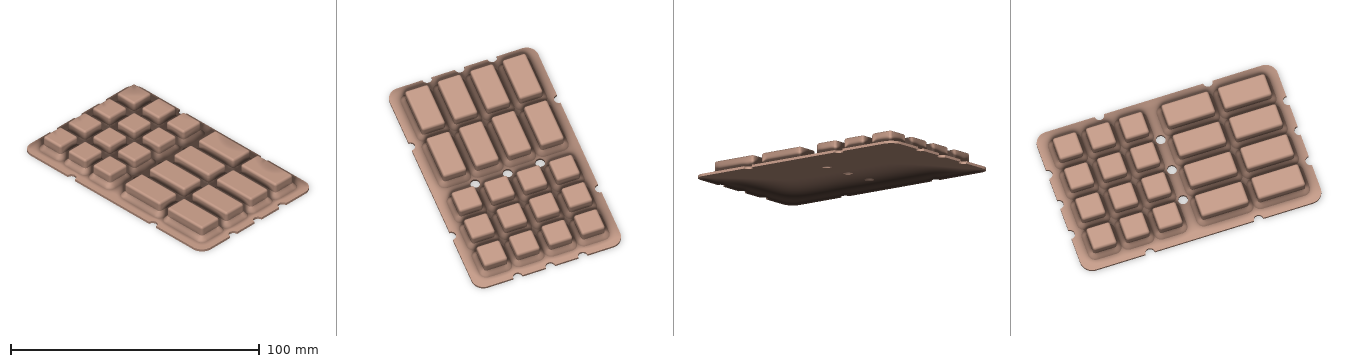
import cadquery as cq

length = 102.0
width = 64.0
plate_thickness = 1.0
plate_corner_radius = 5.0
margin = 4.0

overall_height = 7.0
row_count = 4
small_column_count = 3
long_column_count = 2
key_width = 10.0
long_key_length = 20.0
key_edge_radius = 1.0

pitch = (width - 2 * margin) / row_count
skirt_width = (pitch - key_width) / 2
skirt_height = skirt_width
long_pitch = long_key_length + 2 * skirt_width
skirt_angle = 45.0
shoulder_z = plate_thickness + skirt_height

hole_diameter = 4.0

row_ys = [(row - (row_count - 1) / 2) * pitch for row in range(row_count)]
row_boundaries = [y + pitch / 2 for y in row_ys[:-1]]
small_left = -length / 2 + margin
small_right = small_left + small_column_count * pitch
long_right = length / 2 - margin
long_left = long_right - long_column_count * long_pitch
small_xs = [small_left + (column + 0.5) * pitch for column in range(small_column_count)]
long_xs = [long_left + (column + 0.5) * long_pitch for column in range(long_column_count)]
hole_x = (small_right + long_left) / 2
long_edge_notch_x = long_left + long_pitch


def make_plate():
    """Rounded plate with a line of holes and half-round notches along its edges."""
    plate = cq.Workplane("XY").box(length, width, plate_thickness, centered=(True, True, False))
    plate = plate.edges("|Z").fillet(plate_corner_radius)
    across = [(x, y) for x in (-length / 2, hole_x, length / 2) for y in row_boundaries]
    along = [(x, y) for x in (-long_edge_notch_x, long_edge_notch_x) for y in (-width / 2, width / 2)]
    cutters = (
        cq.Workplane("XY")
        .pushPoints(across + along)
        .circle(hole_diameter / 2)
        .extrude(plate_thickness)
    )
    return plate.cut(cutters)


def make_key(key_length):
    """Key with rounded edges, centred on the origin, on a skirt that flares out to the plate."""
    key = (
        cq.Workplane("XY")
        .workplane(offset=shoulder_z)
        .rect(key_length, key_width)
        .extrude(overall_height - shoulder_z)
        .edges("|Z")
        .fillet(key_edge_radius)
        .faces(">Z")
        .edges()
        .fillet(key_edge_radius)
    )
    skirt_base = cq.Sketch().rect(key_length + 2 * skirt_width, key_width + 2 * skirt_width)
    skirt_base = skirt_base.vertices().fillet(key_edge_radius + skirt_width)
    skirt = (
        cq.Workplane("XY")
        .workplane(offset=plate_thickness)
        .placeSketch(skirt_base)
        .extrude(skirt_height, taper=skirt_angle)
    )
    return key.union(skirt)


small_key = make_key(key_width)
long_key = make_key(long_key_length)

result = make_plate()
for key, column_xs in ((small_key, small_xs), (long_key, long_xs)):
    for x in column_xs:
        for y in row_ys:
            result = result.union(key.translate((x, y, 0)))